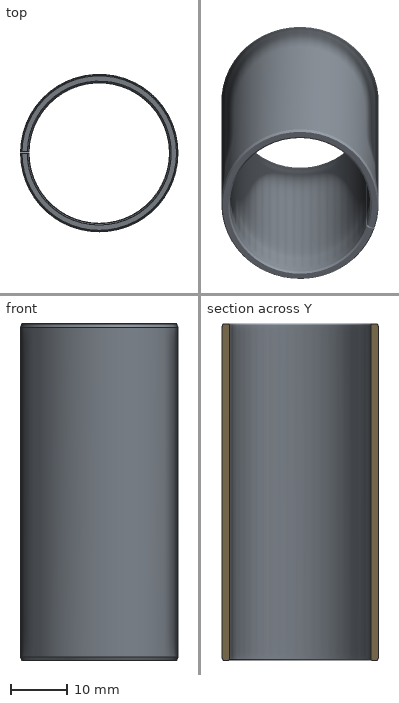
import cadquery as cq
import math

outer_diameter = 28.0
wall_thickness = 1.5
length = 60.0

lead_in_depth = 0.25
lead_in_angle = 20.0
bore_chamfer = 0.3

joint_gap = 0.25

outer_radius = outer_diameter / 2
inner_radius = outer_radius - wall_thickness
half_length = length / 2
lead_in_length = lead_in_depth / math.tan(math.radians(lead_in_angle))


def make_wall_section():
    """Wall section in the XZ plane, chamfered at both ends."""
    return (
        cq.Workplane("XZ")
        .moveTo(inner_radius, -half_length + bore_chamfer)
        .lineTo(inner_radius + bore_chamfer, -half_length)
        .lineTo(outer_radius - lead_in_depth, -half_length)
        .lineTo(outer_radius, -half_length + lead_in_length)
        .lineTo(outer_radius, half_length - lead_in_length)
        .lineTo(outer_radius - lead_in_depth, half_length)
        .lineTo(inner_radius + bore_chamfer, half_length)
        .lineTo(inner_radius, half_length - bore_chamfer)
        .close()
    )


def make_sleeve():
    """Closed tube: the wall section revolved once about Z."""
    return make_wall_section().revolve(360, (0, 0, 0), (0, 1, 0))


def make_joint_cutter():
    """Thin slab from the axis outward past the wall at -X, over the full length."""
    return (
        cq.Workplane("XY")
        .workplane(offset=-half_length)
        .moveTo(-outer_diameter, 0)
        .rect(outer_diameter, joint_gap, centered=False)
        .extrude(length)
    )


result = make_sleeve().cut(make_joint_cutter())